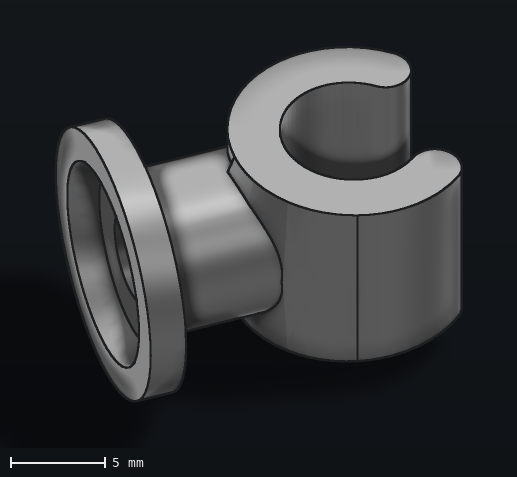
import cadquery as cq
import math

flange_diameter = 15.0
flange_thickness = 2.0
recess_mouth_radius = 5.65
recess_floor_radius = 4.8
recess_depth = 1.5

neck_radius = 4.51
neck_bore_radius = 2.38

total_length = 18.72
clip_outer_radius = 6.59
clip_bore_radius = 3.8
clip_front_half_height = 5.48
clip_tip_half_height = 5.11

tip_radius = (clip_outer_radius - clip_bore_radius) / 2
clip_mid_radius = clip_bore_radius + tip_radius
clip_center_y = 14.0
clip_front_y = clip_center_y - clip_outer_radius
tip_angle = math.asin((total_length - clip_center_y - tip_radius) / clip_mid_radius)

swell_corners = [(0.0, -8.78), (2.43, -7.38), (4.57, -5.5), (5.73, -3.75), (6.36, -1.93)]


def cylinder_along_y(radius, start_y, end_y):
    circle = cq.Workplane("XZ", origin=(0, start_y, 0)).circle(radius)
    return circle.extrude(start_y - end_y)


def on_circle(radius, angle):
    return (radius * math.cos(angle), radius * math.sin(angle))


def clip_plane(z):
    return cq.Workplane("XY", origin=(0, clip_center_y, z))


def clip_prism():
    """C-shaped wall with rounded tips, at its full front height."""
    right_angle = tip_angle
    left_angle = math.pi - tip_angle
    bottom_angle = -math.pi / 2
    outline = (
        clip_plane(-clip_front_half_height)
        .moveTo(*on_circle(clip_outer_radius, left_angle))
        .threePointArc((0, -clip_outer_radius), on_circle(clip_outer_radius, right_angle))
        .threePointArc(
            tip_end(right_angle, 1),
            on_circle(clip_bore_radius, right_angle),
        )
        .threePointArc(
            on_circle(clip_bore_radius, bottom_angle),
            on_circle(clip_bore_radius, left_angle),
        )
        .threePointArc(
            tip_end(left_angle, -1),
            on_circle(clip_outer_radius, left_angle),
        )
        .close()
    )
    return outline.extrude(2 * clip_front_half_height)


def tip_end(angle, turn):
    """Farthest point of a rounded tip; turn is +1 for counterclockwise."""
    center_x, center_y = on_circle(clip_mid_radius, angle)
    reach_x, reach_y = on_circle(tip_radius, angle + turn * math.pi / 2)
    return (center_x + reach_x, center_y + reach_y)


def upper_swell():
    """Ruled transition from the mid-height corners to the round top edge."""
    angles = [math.atan2(y, x) for x, y in swell_corners]
    middle = cq.Workplane("XY").polyline([(0, 0)] + swell_corners).close().val()
    top = cq.Workplane("XY").lineTo(*on_circle(clip_outer_radius, angles[0]))
    for start, end in zip(angles, angles[1:]):
        top = top.threePointArc(
            on_circle(clip_outer_radius, (start + end) / 2),
            on_circle(clip_outer_radius, end),
        )
    top = top.close().val()
    loft = cq.Solid.makeLoft(
        [
            middle.translate(cq.Vector(0, clip_center_y, 0)),
            top.translate(cq.Vector(0, clip_center_y, clip_front_half_height)),
        ],
        True,
    )
    return cq.Workplane(loft)


def height_taper():
    """Wedge that keeps the clip lower at the tips than at the front."""
    return (
        cq.Workplane("YZ", origin=(-clip_outer_radius, 0, 0))
        .moveTo(0, -clip_front_half_height)
        .lineTo(clip_front_y, -clip_front_half_height)
        .lineTo(total_length, -clip_tip_half_height)
        .lineTo(total_length, clip_tip_half_height)
        .lineTo(clip_front_y, clip_front_half_height)
        .lineTo(0, clip_front_half_height)
        .close()
        .extrude(2 * clip_outer_radius)
    )


def recess():
    """Conical recess in the flange face."""
    return (
        cq.Workplane("XY")
        .lineTo(recess_mouth_radius, 0)
        .lineTo(recess_floor_radius, recess_depth)
        .lineTo(0, recess_depth)
        .close()
        .revolve(360, (0, 0, 0), (0, 1, 0))
    )


swell = upper_swell()
clip = clip_prism().union(swell).union(swell.mirror("XY")).intersect(height_taper())
flange = cylinder_along_y(flange_diameter / 2, 0, flange_thickness)
neck = cylinder_along_y(neck_radius, 0, clip_center_y)
clip_bore = clip_plane(-clip_front_half_height).circle(clip_bore_radius)
clip_bore = clip_bore.extrude(2 * clip_front_half_height)

result = (
    clip.union(neck)
    .union(flange)
    .cut(clip_bore)
    .cut(recess())
    .cut(cylinder_along_y(neck_bore_radius, 0, clip_center_y))
)